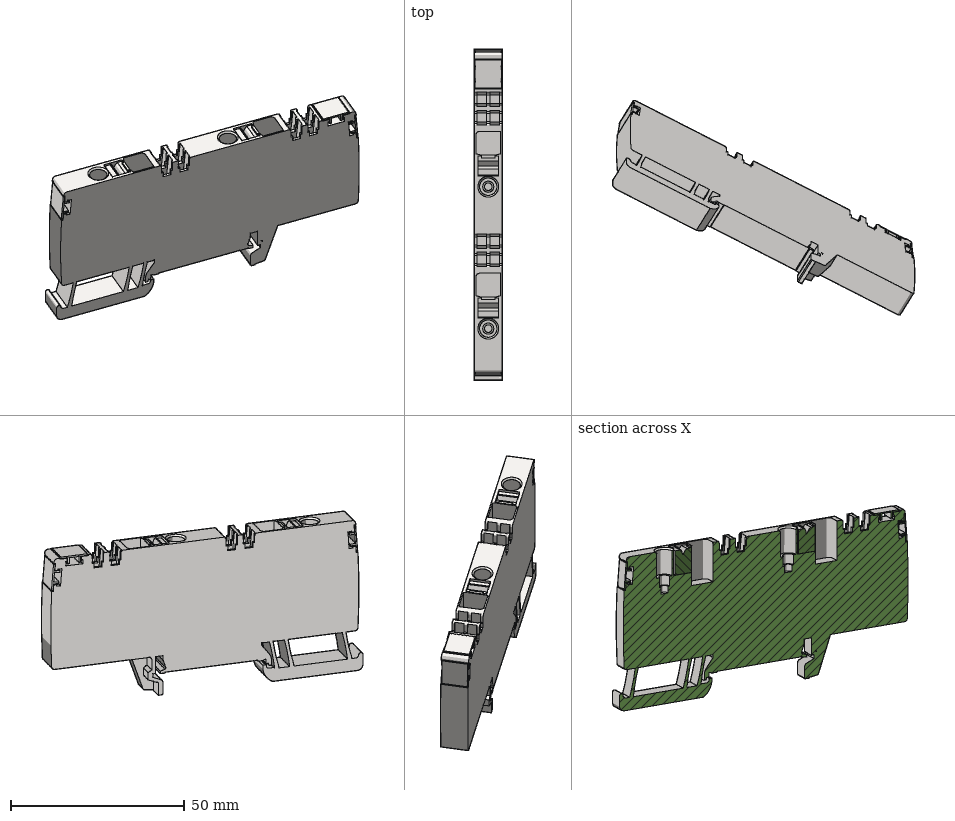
import cadquery as cq
import math


THICKNESS = 8.1
OVERALL_LENGTH = 95.79
BODY_Y = 0.62
HALF_LENGTH = 47.275
TOP_Z = 46.65
BOTTOM_Z = 12.37
SHOULDER_Z = 36.6
BULGE_Z = 24.5
HALF_AT_TOP = 46.2
HALF_AT_SHOULDER = 47.0
HALF_AT_BOTTOM = 46.95
TOP_CORNER_RADIUS = 1.1
BOTTOM_CORNER_RADIUS = 1.0

POLE_PITCH = 41.0
POLE_OFFSETS = [0, -POLE_PITCH]

SLOT_CENTERS = [33.38, 28.06]
SLOT_WIDTH = 3.46
SLOT_STEP_DEPTH = 2.88
SLOT_BASE_WIDTH = 2.42
SLOT_DEPTH = 4.33
SLOT_EDGE_RADIUS = 0.75
RIDGE_EDGE_RADIUS = 0.25
JUMPER_POCKET_WIDTH = 2.7
JUMPER_WEB = 1.1
JUMPER_BASE = 2.5
JUMPER_POCKET_DEPTH = 8.5
JUMPER_MOUTH = 4.2

OPENING_Y = 20.64
OPENING_LENGTH = 6.92
OPENING_WIDTH = 7.2
OPENING_DEPTH = 12.0
OPENING_RADIUS = 1.2
OPENING_CHAMFER_X = 1.5
OPENING_CHAMFER_Y = 0.45

PUSHER_FRONT_Y = 16.89
PUSHER_BACK_Y = 11.45
WELL_BACK_Y = 11.2
PUSHER_WIDTH = 6.06
PUSHER_DEPTH = 8.0
LEDGE_DROP = 0.5
FLAT_DROP = 0.6
RIDGE_DROP = 0.2
GROOVE_BREAK_DROP = 1.1
GROOVE_DROP = 2.4
GROOVE_FRONT_Y = 15.45
GROOVE_BREAK_Y = 14.87
GROOVE_BOTTOM_Y = 14.1
RIDGE_CURVE_Y = 13.8
RIDGE_CURVE_DROP = 1.0
RIDGE_BACK_Y = 13.14
LUG_WIDTH = 4.0
LUG_LENGTH = 0.45

FUNNEL_Y = 8.08
FUNNEL_MOUTH_DIAMETER = 6.0
FUNNEL_BORE_DIAMETER = 5.0
FUNNEL_CHAMFER = 0.5
FUNNEL_DEPTH = 8.0
WIRE_HOLE_DIAMETER = 3.2
WIRE_HOLE_DEPTH = 11.0
WIRE_TIP_DIAMETER = 2.2
WIRE_TIP_DEPTH = 13.0

MARKER_LENGTH = 8.1
SEAT_LENGTH = 8.6
MARKER_WIDTH = 7.6
MARKER_THICKNESS = 0.5
TOP_MARKER_PROUD = 0.2
TOP_MARKER_Y = 40.65
END_MARKER_Z = 40.9
LEG_OUTER = 2.0
LEG_THICKNESS = 0.55
LEG_REACH = 2.15
BARB = 0.25
BARB_HEIGHT = 0.4
WINDOW_HALF_NECK = 2.2
WINDOW_HALF_BASE = 2.6
WINDOW_DEPTH = 2.6
WINDOW_NECK_DEPTH = 1.4

SADDLE_Z = 7.13
LIP_DROP = 0.25
FOOT_TOP_Z = 3.95
FOOT_END_Y = BODY_Y + HALF_LENGTH - OVERALL_LENGTH
STRUT_TOPS = [-19.18, -23.79, -41.52]
STRUT_TOP_WIDTH = 1.17
STRUT_BASE_WIDTH = 1.4
STRUT_LEAN = 1.6
STRUT_BOW = 0.15


def extrude_profile(profile, width=THICKNESS):
    """Extrude a YZ profile by `width`, centred on X = 0."""
    return profile.extrude(width / 2, both=True)


def box_between(y_low, y_high, z_low, z_high, width=THICKNESS):
    """Block centred on X = 0 between the given Y and Z limits."""
    block = cq.Workplane("XY").box(width, y_high - y_low, z_high - z_low)
    return block.translate((0, (y_low + y_high) / 2, (z_low + z_high) / 2))


def main_block():
    """Slab with tapered upper ends and gently bulging lower ends."""
    profile = (
        cq.Workplane("YZ")
        .moveTo(BODY_Y - HALF_AT_TOP, TOP_Z)
        .lineTo(BODY_Y + HALF_AT_TOP, TOP_Z)
        .lineTo(BODY_Y + HALF_AT_SHOULDER, SHOULDER_Z)
        .threePointArc((BODY_Y + HALF_LENGTH, BULGE_Z), (BODY_Y + HALF_AT_BOTTOM, BOTTOM_Z))
        .lineTo(BODY_Y - HALF_AT_BOTTOM, BOTTOM_Z)
        .threePointArc((BODY_Y - HALF_LENGTH, BULGE_Z), (BODY_Y - HALF_AT_SHOULDER, SHOULDER_Z))
        .close()
    )
    block = extrude_profile(profile)
    block = block.faces(">Z").edges("|X").fillet(TOP_CORNER_RADIUS)
    return block.faces("<Z").edges("|X").fillet(BOTTOM_CORNER_RADIUS)


def saddle():
    """Boss that rests on the rail, with its small lips and the hook finger."""
    profile = (
        cq.Workplane("YZ")
        .moveTo(13.42, BOTTOM_Z)
        .lineTo(13.42, 10.94)
        .lineTo(12.55, 8.46)
        .lineTo(12.85, 8.1)
        .lineTo(14.28, 7.65)
        .lineTo(14.28, SADDLE_Z - LIP_DROP)
        .lineTo(12.98, SADDLE_Z - LIP_DROP)
        .lineTo(12.75, SADDLE_Z)
        .lineTo(-15.4, SADDLE_Z)
        .lineTo(-15.6, SADDLE_Z - LIP_DROP)
        .lineTo(-17.2, SADDLE_Z - LIP_DROP)
        .lineTo(-17.6, SADDLE_Z)
        .lineTo(-18.1, SADDLE_Z)
        .lineTo(-18.1, 5.7)
        .lineTo(-18.8, 5.85)
        .lineTo(-19.12, 5.1)
        .lineTo(-19.75, 5.1)
        .lineTo(-19.75, 6.87)
        .threePointArc((-19.6, 7.9), (-19.18, 8.64))
        .lineTo(-16.87, 11.64)
        .lineTo(-16.87, BOTTOM_Z)
        .close()
    )
    return extrude_profile(profile)


def latch_arm():
    """S-shaped spring arm that snaps under the rail edge."""
    profile = (
        cq.Workplane("YZ")
        .moveTo(17.6, BOTTOM_Z)
        .threePointArc((17.1, 12.0), (16.88, 11.45))
        .lineTo(16.88, 8.4)
        .lineTo(18.03, 7.7)
        .lineTo(18.03, 5.45)
        .lineTo(14.9, 4.15)
        .lineTo(14.9, 0.25)
        .lineTo(13.75, 0.25)
        .lineTo(13.42, 0.6)
        .lineTo(13.42, 4.0)
        .threePointArc((13.6, 4.6), (14.14, 5.03))
        .lineTo(16.59, 6.05)
        .lineTo(16.59, SADDLE_Z)
        .lineTo(15.72, SADDLE_Z)
        .lineTo(15.72, BOTTOM_Z)
        .close()
    )
    return extrude_profile(profile)


def latch_rib():
    """Stiffening plate behind the latch arm, on the +X half only."""
    profile = (
        cq.Workplane("YZ")
        .moveTo(22.1, BOTTOM_Z)
        .lineTo(18.2, 1.35)
        .threePointArc((18.0, 1.0), (17.65, 0.82))
        .lineTo(14.2, 0.4)
        .lineTo(14.2, 4.7)
        .lineTo(17.3, 6.0)
        .lineTo(17.3, 8.3)
        .lineTo(16.2, 8.6)
        .lineTo(16.2, BOTTOM_Z)
        .close()
    )
    return profile.extrude(THICKNESS / 2)


def foot_bar():
    """Long bar under the struts, with a claw at the rail side and a raised toe at its end."""
    profile = (
        cq.Workplane("YZ")
        .moveTo(-17.16, 5.4)
        .lineTo(-17.16, 4.2)
        .threePointArc((-18.1, 1.8), (-20.1, 0))
        .lineTo(-46.1, 0)
        .threePointArc((-47.35, 0.5), (FOOT_END_Y, 1.7))
        .lineTo(FOOT_END_Y, 4.85)
        .threePointArc((-47.2, 5.45), (-46.55, 4.9))
        .threePointArc((-46.3, 4.25), (-45.75, FOOT_TOP_Z))
        .lineTo(-20.9, FOOT_TOP_Z)
        .lineTo(-20.5, 4.3)
        .lineTo(-18.95, 4.3)
        .threePointArc((-18.5, 4.45), (-18.28, 4.9))
        .lineTo(-18.28, 5.8)
        .lineTo(-18.0, 5.8)
        .lineTo(-18.0, 5.4)
        .close()
    )
    return extrude_profile(profile)


def strut(y_top):
    """Slightly waisted leaning leg between the main block and the foot bar."""
    z_mid = (BOTTOM_Z + FOOT_TOP_Z) / 2
    y_base = y_top - STRUT_LEAN
    y_mid = y_top - STRUT_LEAN / 2
    mid_width = (STRUT_TOP_WIDTH + STRUT_BASE_WIDTH) / 2
    profile = (
        cq.Workplane("YZ")
        .moveTo(y_top, BOTTOM_Z)
        .threePointArc((y_mid - STRUT_BOW, z_mid), (y_base, FOOT_TOP_Z))
        .lineTo(y_base - STRUT_BASE_WIDTH, FOOT_TOP_Z)
        .threePointArc((y_mid - mid_width + STRUT_BOW, z_mid), (y_top - STRUT_TOP_WIDTH, BOTTOM_Z))
        .close()
    )
    return extrude_profile(profile)


def slot_cutter(y_center, plus_radius, minus_radius):
    """Stepped slot across the block, with rounded upper edges of the given radii."""
    half = SLOT_WIDTH / 2
    half_base = SLOT_BASE_WIDTH / 2
    step_z = TOP_Z - SLOT_STEP_DEPTH
    floor_z = TOP_Z - SLOT_DEPTH
    plus_y = y_center + half
    minus_y = y_center - half
    bow = 1 - math.sqrt(0.5)
    profile = (
        cq.Workplane("YZ")
        .moveTo(plus_y + plus_radius, TOP_Z)
        .threePointArc(
            (plus_y + bow * plus_radius, TOP_Z - bow * plus_radius), (plus_y, TOP_Z - plus_radius)
        )
        .lineTo(plus_y, step_z)
        .lineTo(y_center + half_base, step_z)
        .lineTo(y_center + half_base, floor_z)
        .lineTo(y_center - half_base, floor_z)
        .lineTo(y_center - half_base, step_z)
        .lineTo(minus_y, step_z)
        .lineTo(minus_y, TOP_Z - minus_radius)
        .threePointArc(
            (minus_y - bow * minus_radius, TOP_Z - bow * minus_radius), (minus_y - minus_radius, TOP_Z)
        )
        .close()
    )
    return extrude_profile(profile)


def jumper_pocket_cutter(y_center):
    """Two contact pockets side by side in one slot, tapering down to their floor."""
    x_center = (JUMPER_POCKET_WIDTH + JUMPER_WEB) / 2
    half_base = JUMPER_BASE / 2
    half_mouth = JUMPER_MOUTH / 2
    profile = (
        cq.Workplane("YZ")
        .moveTo(y_center - half_mouth, TOP_Z)
        .lineTo(y_center - half_base, TOP_Z - JUMPER_POCKET_DEPTH)
        .lineTo(y_center + half_base, TOP_Z - JUMPER_POCKET_DEPTH)
        .lineTo(y_center + half_mouth, TOP_Z)
        .close()
    )
    pocket = extrude_profile(profile, JUMPER_POCKET_WIDTH)
    return pocket.translate((x_center, 0, 0)).union(pocket.translate((-x_center, 0, 0)))


def opening_cutter():
    """Blind test opening with one rounded corner and two blunted ones."""
    x = OPENING_WIDTH / 2
    y_high = OPENING_Y + OPENING_LENGTH / 2
    y_low = OPENING_Y - OPENING_LENGTH / 2
    profile = (
        cq.Workplane("XY", origin=(0, 0, TOP_Z))
        .moveTo(-x + OPENING_RADIUS, y_high)
        .lineTo(x, y_high)
        .lineTo(x, y_low + OPENING_CHAMFER_Y)
        .lineTo(x - OPENING_CHAMFER_X, y_low)
        .lineTo(-x + OPENING_CHAMFER_X, y_low)
        .lineTo(-x, y_low + OPENING_CHAMFER_Y)
        .lineTo(-x, y_high - OPENING_RADIUS)
        .radiusArc((-x + OPENING_RADIUS, y_high), OPENING_RADIUS)
        .close()
    )
    return profile.extrude(-OPENING_DEPTH)


def pusher_well_cutter():
    """Rectangular well for the pusher, leaving a small lug above the pusher's ledge."""
    well = box_between(WELL_BACK_Y, PUSHER_FRONT_Y, TOP_Z - PUSHER_DEPTH, TOP_Z, PUSHER_WIDTH)
    lug = box_between(PUSHER_FRONT_Y - LUG_LENGTH, PUSHER_FRONT_Y, TOP_Z - LEDGE_DROP, TOP_Z, LUG_WIDTH)
    return well.cut(lug)


def funnel_cutter():
    """Wire entry: chamfered bore stepping down to the wire hole and its tip."""
    mouth = FUNNEL_MOUTH_DIAMETER / 2
    bore = FUNNEL_BORE_DIAMETER / 2
    wire = WIRE_HOLE_DIAMETER / 2
    tip = WIRE_TIP_DIAMETER / 2
    profile = (
        cq.Workplane("XZ")
        .moveTo(0, 0)
        .lineTo(mouth, 0)
        .lineTo(bore, -FUNNEL_CHAMFER)
        .lineTo(bore, -FUNNEL_DEPTH)
        .lineTo(wire, -FUNNEL_DEPTH)
        .lineTo(wire, -WIRE_HOLE_DEPTH)
        .lineTo(tip, -WIRE_HOLE_DEPTH)
        .lineTo(tip, -WIRE_TIP_DEPTH)
        .lineTo(0, -WIRE_TIP_DEPTH)
        .close()
    )
    return profile.revolve(360, (0, 0, 0), (0, 1, 0)).translate((0, FUNNEL_Y, TOP_Z))


def marker_shape(proud):
    """Marker plate standing `proud` of the surface, with two barbed snap legs below it."""
    underside = proud - MARKER_THICKNESS
    plate = box_between(-MARKER_LENGTH / 2, MARKER_LENGTH / 2, underside, proud, MARKER_WIDTH)
    leg_profile = (
        cq.Workplane("YZ")
        .moveTo(LEG_OUTER - LEG_THICKNESS, underside)
        .lineTo(LEG_OUTER, underside)
        .lineTo(LEG_OUTER, -LEG_REACH + BARB_HEIGHT)
        .lineTo(LEG_OUTER + BARB, -LEG_REACH + BARB_HEIGHT)
        .lineTo(LEG_OUTER, -LEG_REACH)
        .lineTo(LEG_OUTER - LEG_THICKNESS, -LEG_REACH)
        .close()
    )
    leg = extrude_profile(leg_profile, MARKER_WIDTH)
    return plate.union(leg).union(leg.mirror("XZ"))


def marker_seat_cutter(proud):
    """Recess for the plate and an undercut window for the legs, both open at the sides."""
    seat_z = proud - MARKER_THICKNESS
    recess = box_between(-SEAT_LENGTH / 2, SEAT_LENGTH / 2, seat_z, MARKER_THICKNESS)
    neck = box_between(-WINDOW_HALF_NECK, WINDOW_HALF_NECK, -WINDOW_DEPTH, seat_z)
    base = box_between(-WINDOW_HALF_BASE, WINDOW_HALF_BASE, -WINDOW_DEPTH, -WINDOW_NECK_DEPTH)
    return recess.union(neck).union(base)


def place_marker(shape, angle, y, z):
    """Turn a marker-frame shape about X by `angle` degrees and move it to its surface."""
    return shape.rotate((0, 0, 0), (1, 0, 0), angle).translate((0, y, z))


end_slope = (HALF_AT_SHOULDER - HALF_AT_TOP) / (TOP_Z - SHOULDER_Z)
end_angle = 90 - math.degrees(math.atan(end_slope))
end_half = HALF_AT_TOP + end_slope * (TOP_Z - END_MARKER_Z)
marker_places = [
    (TOP_MARKER_PROUD, 0, TOP_MARKER_Y, TOP_Z),
    (0, -end_angle, BODY_Y + end_half, END_MARKER_Z),
    (0, end_angle, BODY_Y - end_half, END_MARKER_Z),
]


def pusher_shape():
    """Pusher of the first pole: ledge, screwdriver groove, rounded ridge and a lower flat."""
    profile = (
        cq.Workplane("YZ")
        .moveTo(PUSHER_FRONT_Y, TOP_Z - PUSHER_DEPTH)
        .lineTo(PUSHER_FRONT_Y, TOP_Z - LEDGE_DROP)
        .lineTo(GROOVE_FRONT_Y, TOP_Z - LEDGE_DROP)
        .lineTo(GROOVE_BREAK_Y, TOP_Z - GROOVE_BREAK_DROP)
        .lineTo(GROOVE_BOTTOM_Y, TOP_Z - GROOVE_DROP)
        .threePointArc((RIDGE_CURVE_Y, TOP_Z - RIDGE_CURVE_DROP), (RIDGE_BACK_Y, TOP_Z - RIDGE_DROP))
        .lineTo(RIDGE_BACK_Y, TOP_Z - FLAT_DROP)
        .lineTo(PUSHER_BACK_Y, TOP_Z - FLAT_DROP)
        .lineTo(PUSHER_BACK_Y, TOP_Z - PUSHER_DEPTH)
        .close()
    )
    return extrude_profile(profile, PUSHER_WIDTH)


housing = main_block().union(saddle()).union(latch_arm()).union(latch_rib()).union(foot_bar())
for strut_top in STRUT_TOPS:
    housing = housing.union(strut(strut_top))

first_slot, second_slot = SLOT_CENTERS
pole_cutters = [
    slot_cutter(first_slot, SLOT_EDGE_RADIUS, RIDGE_EDGE_RADIUS),
    slot_cutter(second_slot, RIDGE_EDGE_RADIUS, SLOT_EDGE_RADIUS),
    jumper_pocket_cutter(first_slot),
    jumper_pocket_cutter(second_slot),
    opening_cutter(),
    pusher_well_cutter(),
    funnel_cutter(),
]
pushers = []
for offset in POLE_OFFSETS:
    for cutter in pole_cutters:
        housing = housing.cut(cutter.translate((0, offset, 0)))
    pushers.append(pusher_shape().translate((0, offset, 0)))

markers = []
for proud, angle, y, z in marker_places:
    housing = housing.cut(place_marker(marker_seat_cutter(proud), angle, y, z))
    markers.append(place_marker(marker_shape(proud), angle, y, z))

result = cq.Compound.makeCompound(
    [housing.val(), *[marker.val() for marker in markers], *[pusher.val() for pusher in pushers]]
)